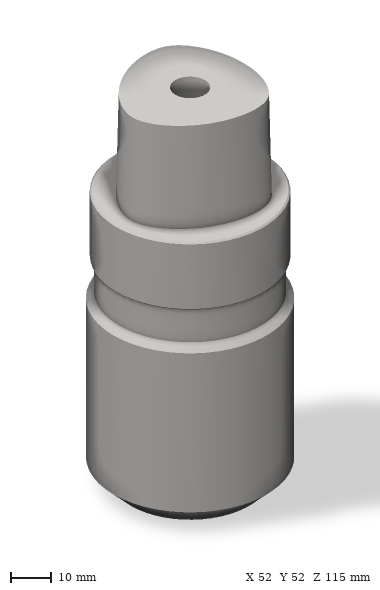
import cadquery as cq
import math

body_diameter = 52.0
neck_diameter = 48.0
flange_diameter = 50.0
foot_diameter = 40.0
bevel_height = (body_diameter - foot_diameter) / 2
shoulder_height = (body_diameter - neck_diameter) / 2
shoulder_top = 55.0
flange_bottom = 65.0
flange_top = 85.0
flange_chamfer = 0.5

total_height = 115.0
shank_base_radius = 19.4
shank_top_radius = 18.7
lobe_eccentricity = 1.3
bore_diameter = 10.0
curve_points = 48


def make_body():
    """Revolve the bevelled foot, cylinder, shoulder and neck."""
    return (
        cq.Workplane("XZ")
        .lineTo(foot_diameter / 2, 0)
        .lineTo(body_diameter / 2, bevel_height)
        .lineTo(body_diameter / 2, shoulder_top - shoulder_height)
        .lineTo(neck_diameter / 2, shoulder_top)
        .lineTo(neck_diameter / 2, flange_bottom)
        .lineTo(0, flange_bottom)
        .close()
        .revolve(360, (0, 0), (0, 1))
    )


def make_flange():
    return (
        cq.Workplane("XY", origin=(0, 0, flange_bottom))
        .circle(flange_diameter / 2)
        .extrude(flange_top - flange_bottom)
        .edges()
        .chamfer(flange_chamfer)
    )


def lobed_wire(mean_radius, z):
    """Constant-width curve with three lobes, one of them pointing along -X."""
    points = []
    for i in range(curve_points):
        angle = 2 * math.pi * i / curve_points
        x = (mean_radius * math.cos(angle)
             - 2 * lobe_eccentricity * math.cos(2 * angle)
             + lobe_eccentricity * math.cos(4 * angle))
        y = (mean_radius * math.sin(angle)
             + 2 * lobe_eccentricity * math.sin(2 * angle)
             + lobe_eccentricity * math.sin(4 * angle))
        points.append(cq.Vector(x, y, z))
    return cq.Wire.assembleEdges([cq.Edge.makeSpline(points, periodic=True)])


def make_shank():
    base = lobed_wire(shank_base_radius, flange_top)
    top = lobed_wire(shank_top_radius, total_height)
    return cq.Workplane(cq.Solid.makeLoft([base, top], True))


def make_bore():
    return cq.Workplane("XY").circle(bore_diameter / 2).extrude(total_height)


result = make_body().union(make_flange()).union(make_shank()).cut(make_bore())